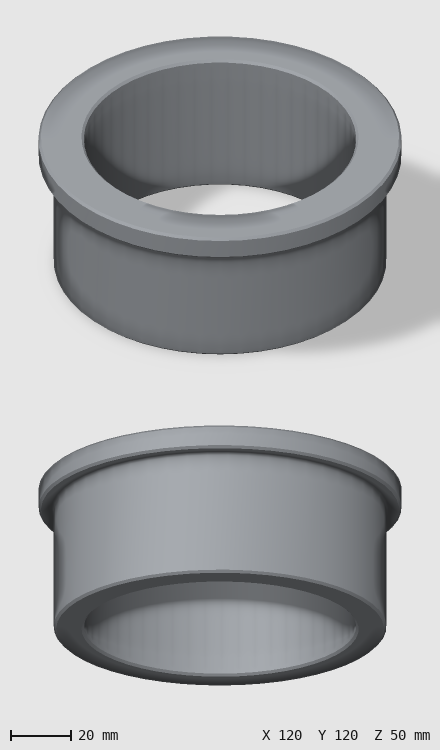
import cadquery as cq

bore_diameter = 90.0
sleeve_diameter = 110.0
flange_diameter = 120.0
total_height = 50.0
flange_thickness = 8.0
edge_chamfer = 0.8
neck_fillet = 0.8

bore_radius = bore_diameter / 2
sleeve_radius = sleeve_diameter / 2
flange_radius = flange_diameter / 2
flange_underside = total_height - flange_thickness


def wall_section():
    """Radial section of the flanged bushing: X is the radius and Z the height."""
    return (
        cq.Workplane("XZ")
        .moveTo(bore_radius + edge_chamfer, 0)
        .lineTo(sleeve_radius - edge_chamfer, 0)
        .lineTo(sleeve_radius, edge_chamfer)
        .lineTo(sleeve_radius, flange_underside - neck_fillet)
        .radiusArc((sleeve_radius + neck_fillet, flange_underside), neck_fillet)
        .lineTo(flange_radius - edge_chamfer, flange_underside)
        .lineTo(flange_radius, flange_underside + edge_chamfer)
        .lineTo(flange_radius, total_height - edge_chamfer)
        .lineTo(flange_radius - edge_chamfer, total_height)
        .lineTo(bore_radius + edge_chamfer, total_height)
        .lineTo(bore_radius, total_height - edge_chamfer)
        .lineTo(bore_radius, edge_chamfer)
        .close()
    )


def revolve_about_z(section):
    """Full turn of a section about the Z axis."""
    full_turn = 360
    axis_start = (0, 0, 0)
    axis_end = (0, 1, 0)
    return section.revolve(full_turn, axis_start, axis_end)


result = revolve_about_z(wall_section())